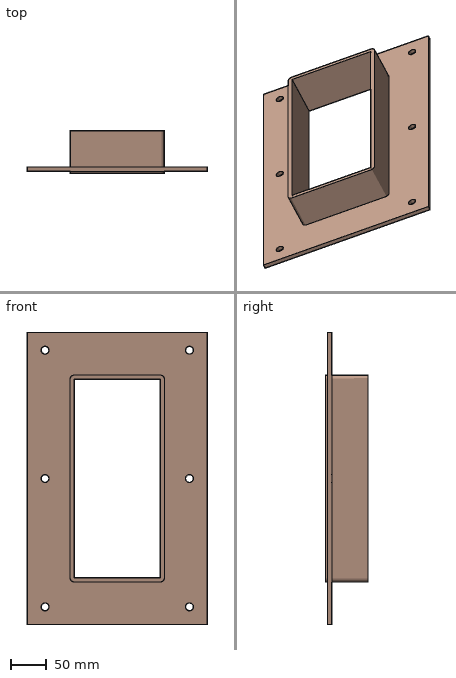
import cadquery as cq

plate_width = 252.5
plate_height = 410.0
plate_thickness = 6.0

duct_opening_width = 120.0
duct_opening_height = 278.0
duct_wall = 6.0
duct_length = 60.0
duct_front_projection = 3.0
duct_corner_radius = 6.0

hole_diameter = 10.5
hole_edge_distance = 25.0
hole_offset_x = plate_width / 2 - hole_edge_distance
hole_offset_z = plate_height / 2 - hole_edge_distance


def upright_block(width, height, front, depth):
    """Block centred in X and Z, reaching from y = front toward +Y."""
    return (
        cq.Workplane("XY")
        .box(width, depth, height, centered=(True, False, True))
        .translate((0, front, 0))
    )


plate = upright_block(plate_width, plate_height, 0, plate_thickness)

duct_outside = upright_block(
    duct_opening_width + 2 * duct_wall,
    duct_opening_height + 2 * duct_wall,
    -duct_front_projection,
    duct_length,
).edges("|Y").fillet(duct_corner_radius)

opening = upright_block(
    duct_opening_width, duct_opening_height, -duct_front_projection, duct_length
)

hole_centres = [
    (column * hole_offset_x, row * hole_offset_z)
    for column in (-1, 1)
    for row in (-1, 0, 1)
]
holes = (
    cq.Workplane("XZ")
    .pushPoints(hole_centres)
    .circle(hole_diameter / 2)
    .extrude(-plate_thickness)
)

result = plate.union(duct_outside).cut(opening).cut(holes)